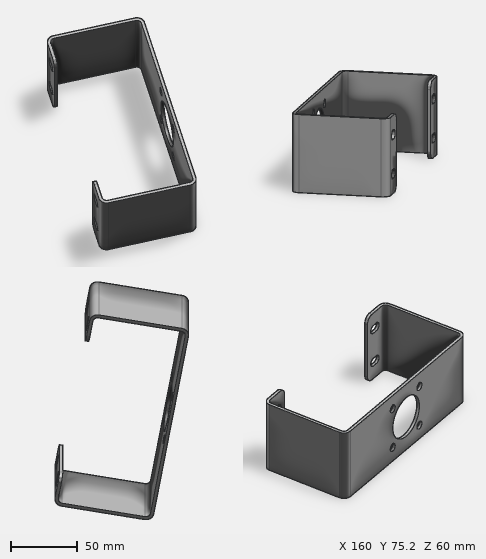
import cadquery as cq

width = 160.0
depth = 75.25
height = 60.0

thickness = 2.5
bend_radius_outer = 6.0
bend_radius_inner = bend_radius_outer - thickness

flange_width = 25.0
flange_corner_radius = 6.0
slot_length = 11.0
slot_height = 7.0
slot_inset = 15.0
slot_spacing = 30.0

bore_diameter = 35.25
bolt_spacing = 35.4
bolt_hole_diameter = 6.4

front_y = -depth / 2
back_y = depth / 2


def rounded_block(size_x, size_y, corner_radius):
    """Full-height block with rounded vertical edges."""
    return cq.Workplane("XY").box(size_x, size_y, height).edges("|Z").fillet(corner_radius)


def make_bent_sheet():
    """C-shaped sheet: a rounded tube opened between the two front flanges."""
    tube = rounded_block(width, depth, bend_radius_outer).cut(
        rounded_block(width - 2 * thickness, depth - 2 * thickness, bend_radius_inner)
    )
    opening = cq.Workplane("XY").box(width - 2 * flange_width, depth, height)
    opening = opening.translate((0, -thickness, 0))
    return tube.cut(opening)


def round_flange_corners(body):
    """Round the free corners of both flanges, top and bottom."""
    flange_end = width / 2 - flange_width
    margin = thickness / 2
    corner_edges = cq.selectors.BoxSelector(
        (-flange_end - margin, front_y - margin, -height),
        (flange_end + margin, front_y + thickness + margin, height),
    )
    return body.edges("|Y").edges(corner_edges).fillet(flange_corner_radius)


def make_flange_slots():
    """Cutters for two horizontal slots through each flange."""
    slot_x = width / 2 - slot_inset
    slot_z = slot_spacing / 2
    centres = [(x, z) for x in (-slot_x, slot_x) for z in (-slot_z, slot_z)]
    return (
        cq.Workplane("XZ", origin=(0, front_y + thickness, 0))
        .pushPoints(centres)
        .slot2D(slot_length, slot_height)
        .extrude(thickness)
    )


def make_back_holes():
    """Cutters for the central bore and the square of bolt holes around it."""
    back_plane = cq.Workplane("XZ", origin=(0, back_y, 0))
    bore = back_plane.circle(bore_diameter / 2).extrude(thickness)
    bolt_holes = (
        back_plane.rect(bolt_spacing, bolt_spacing, forConstruction=True)
        .vertices()
        .circle(bolt_hole_diameter / 2)
        .extrude(thickness)
    )
    return bore.union(bolt_holes)


bracket = round_flange_corners(make_bent_sheet())
result = bracket.cut(make_flange_slots()).cut(make_back_holes())